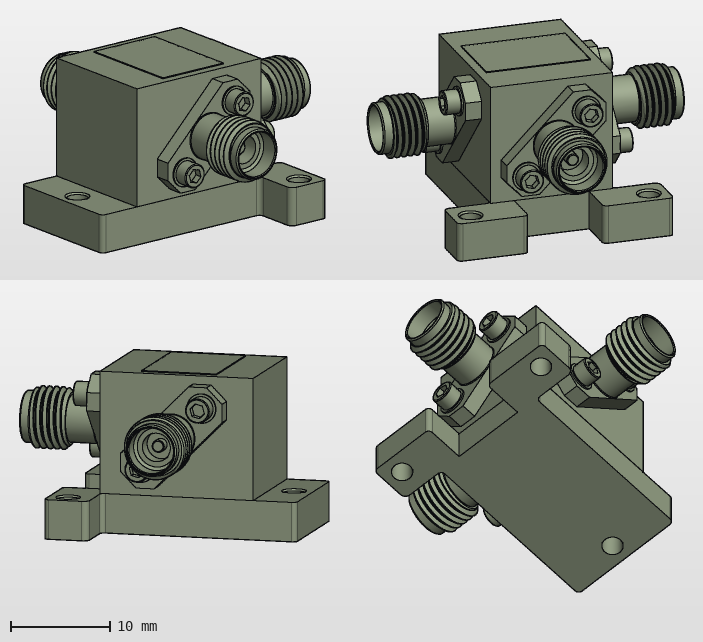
import cadquery as cq
import math

block_width = 13.0
block_depth = 16.0
block_height = 12.5
label_width = 11.1
label_depth = 7.8
label_height = 0.1

base_height = 4.05
tab_reach = 4.5
ear_span = 23.0
ear_overlap = 0.1
notch_width = 8.0
corner_radius = 0.5
ear_front_radius = 0.65
mount_hole_diameter = 2.15
mount_hole_chamfer = 0.18
mount_hole_inset = 2.0

connector_angles = [0, 90, 180]
connector_axis_z = 10.38
connector_shift = 0.08
flange_thickness = 1.73
flange_length = 12.7
flange_bar_width = 4.95
flange_square = 10.6
barrel_radius = 2.42
barrel_foot_radius = 2.47
barrel_foot_height = 0.12
thread_start = 4.73
thread_end = 8.5
thread_major_radius = 3.175
thread_root_radius = 2.7
thread_pitch = 25.4 / 36
thread_crest_width = 0.1
thread_foot_gap = 0.02
thread_embed = 0.06
thread_clearance = 0.3
thread_phase = 5.56
thread_start_radius = 2.65
thread_end_radius = 2.94
sleeve_radius = 2.64
connector_length = 9.525
sleeve_chamfer = 0.15

mouth_radius = 2.33
mouth_chamfer = 0.1
mouth_depth = 1.9
socket_floor_radius = 2.0
socket_floor_depth = 2.1
dielectric_bore_radius = 1.46
dielectric_bore_depth = 3.9
pin_radius = 0.63
pin_recess = 2.7
pin_chamfer = 0.1

screw_offset = 3.17
washer_radius = 1.5
washer_thickness = 0.17
screw_head_radius = 1.24
screw_head_top = 3.45
screw_head_chamfer = 0.1
screw_hex_circle = 1.54
screw_hex_depth = 0.8
screw_hex_turn = 45

block_rear = block_depth / 2
base_rear = block_rear + tab_reach
base_front = -block_depth / 2 - tab_reach
ear_front = block_rear - ear_overlap
block_top = base_height + block_height


def upright_edges_at(x, y):
    """Selector for the upright base edges at (x, y) and (-x, y)."""
    margin = ear_overlap / 2
    at_right = cq.selectors.BoxSelector((x - margin, y - margin, 0), (x + margin, y + margin, base_height))
    at_left = cq.selectors.BoxSelector((-x - margin, y - margin, 0), (margin - x, y + margin, base_height))
    return at_right + at_left


def make_base():
    """Mounting plate with a front tab and two rear ears."""
    side = block_width / 2
    ear = ear_span / 2
    notch = notch_width / 2
    right_half = [
        (side, base_front),
        (side, ear_front),
        (ear, ear_front),
        (ear, base_rear),
        (notch, base_rear),
        (notch, block_rear),
    ]
    left_half = [(-x, y) for x, y in reversed(right_half)]
    plate = cq.Workplane("XY").polyline(right_half + left_half).close().extrude(base_height)

    upright = cq.selectors.ParallelDirSelector(cq.Vector(0, 0, 1))
    ear_front_corners = upright_edges_at(ear, ear_front)
    notch_corners = upright_edges_at(notch, block_rear)
    plate = plate.edges(upright - ear_front_corners - notch_corners).fillet(corner_radius)
    plate = plate.edges(ear_front_corners).fillet(ear_front_radius)

    ear_hole_x = ear - mount_hole_inset
    ear_hole_y = base_rear - mount_hole_inset
    hole_places = [
        (0, base_front + mount_hole_inset),
        (ear_hole_x, ear_hole_y),
        (-ear_hole_x, ear_hole_y),
    ]
    return (
        plate.faces(">Z").workplane(origin=(0, 0, base_height)).pushPoints(hole_places)
        .cskHole(mount_hole_diameter, mount_hole_diameter + 2 * mount_hole_chamfer, 90)
    )


def make_flange():
    """Diagonal bar with its corners trimmed by an upright square."""
    bar = (
        cq.Workplane("XY")
        .transformed(rotate=(0, 0, 45))
        .rect(flange_length, flange_bar_width)
        .extrude(flange_thickness)
    )
    trim = cq.Workplane("XY").rect(flange_square, flange_square).extrude(flange_thickness)
    return bar.intersect(trim)


def make_thread_ridge():
    """Right-hand helical ridge, trimmed to 45 degree lead-ins at both ends."""
    turns_before = math.ceil((thread_phase - thread_start + thread_pitch / 2) / thread_pitch)
    first_crest = thread_phase - turns_before * thread_pitch
    turns = math.ceil((thread_end - first_crest) / thread_pitch) + 1
    helix = cq.Wire.makeHelix(thread_pitch, turns * thread_pitch, thread_root_radius)
    half_foot = (thread_pitch - thread_foot_gap) / 2
    half_crest = thread_crest_width / 2
    embedded_radius = thread_root_radius - thread_embed
    ridge = (
        cq.Workplane("XZ")
        .polyline([
            (embedded_radius, -half_foot),
            (thread_major_radius, -half_crest),
            (thread_major_radius, half_crest),
            (embedded_radius, half_foot),
        ])
        .close()
        .sweep(cq.Workplane(obj=helix), isFrenet=True)
        .translate((0, 0, first_crest))
    )
    envelope_radius = thread_major_radius + thread_clearance
    envelope = (
        cq.Workplane("XZ")
        .polyline([
            (0, thread_start),
            (thread_start_radius, thread_start),
            (envelope_radius, thread_start + envelope_radius - thread_start_radius),
            (envelope_radius, thread_end - envelope_radius + thread_end_radius),
            (thread_end_radius, thread_end),
            (0, thread_end),
        ])
        .close()
        .revolve(360, (0, 0), (0, 1))
    )
    return ridge.intersect(envelope)


def make_shell():
    """Barrel, threaded length and tip sleeve, with the socket and its centre pin."""
    outer = (
        cq.Workplane("XZ")
        .polyline([
            (0, 0),
            (barrel_foot_radius, 0),
            (barrel_foot_radius, flange_thickness),
            (barrel_radius, flange_thickness + barrel_foot_height),
            (barrel_radius, thread_start),
            (thread_start_radius, thread_start),
            (thread_root_radius, thread_start + thread_root_radius - thread_start_radius),
            (thread_root_radius, thread_end),
            (sleeve_radius, thread_end),
            (sleeve_radius, connector_length - sleeve_chamfer),
            (sleeve_radius - sleeve_chamfer, connector_length),
            (0, connector_length),
        ])
        .close()
        .revolve(360, (0, 0), (0, 1))
    )
    pin_top = connector_length - pin_recess
    socket = (
        cq.Workplane("XZ")
        .polyline([
            (0, connector_length),
            (mouth_radius + mouth_chamfer, connector_length),
            (mouth_radius, connector_length - mouth_chamfer),
            (mouth_radius, connector_length - mouth_depth),
            (socket_floor_radius, connector_length - socket_floor_depth),
            (dielectric_bore_radius, connector_length - socket_floor_depth),
            (dielectric_bore_radius, connector_length - dielectric_bore_depth),
            (pin_radius, connector_length - dielectric_bore_depth),
            (pin_radius, pin_top - pin_chamfer),
            (pin_radius - pin_chamfer, pin_top),
            (0, pin_top),
        ])
        .close()
        .revolve(360, (0, 0), (0, 1))
    )
    return outer.union(make_thread_ridge()).cut(socket)


def make_screw():
    """Washer and hex-socket cap head standing on the flange."""
    washer = cq.Workplane("XY").circle(washer_radius).extrude(washer_thickness)
    head = (
        cq.Workplane("XY")
        .circle(screw_head_radius)
        .extrude(screw_head_top - flange_thickness)
        .faces(">Z")
        .chamfer(screw_head_chamfer)
        .faces(">Z")
        .workplane()
        .transformed(rotate=(0, 0, screw_hex_turn))
        .polygon(6, screw_hex_circle)
        .cutBlind(-screw_hex_depth)
    )
    return washer.union(head).translate((0, 0, flange_thickness))


def make_connector():
    """One connector standing on the local XY plane with its axis along local Z."""
    connector = make_flange().union(make_shell())
    for side in (1, -1):
        offset = side * screw_offset
        connector = connector.union(make_screw().translate((offset, offset, 0)))
    return connector


def place_connector(connector, angle):
    """Stand the connector on the block face that looks outward at the given angle."""
    outward = cq.Vector(math.cos(math.radians(angle)), math.sin(math.radians(angle)), 0)
    sideways = cq.Vector(0, 0, 1).cross(outward)
    reach = block_depth / 2 if angle == 90 else block_width / 2
    origin = outward * reach - sideways * connector_shift + cq.Vector(0, 0, connector_axis_z)
    return connector.val().moved(cq.Location(cq.Plane(origin, sideways, outward)))


def make_housing():
    """Block with its raised label panel and the three connectors."""
    block = (
        cq.Workplane("XY", origin=(0, 0, base_height))
        .rect(block_width, block_depth)
        .extrude(block_height)
    )
    label = (
        cq.Workplane("XY", origin=(0, 0, block_top))
        .rect(label_width, label_depth)
        .extrude(label_height)
    )
    housing = block.union(label)
    connector = make_connector()
    for angle in connector_angles:
        housing = housing.union(cq.Workplane(obj=place_connector(connector, angle)))
    return housing


base = make_base()
housing = make_housing()

result = cq.Compound.makeCompound([base.val(), housing.val()])